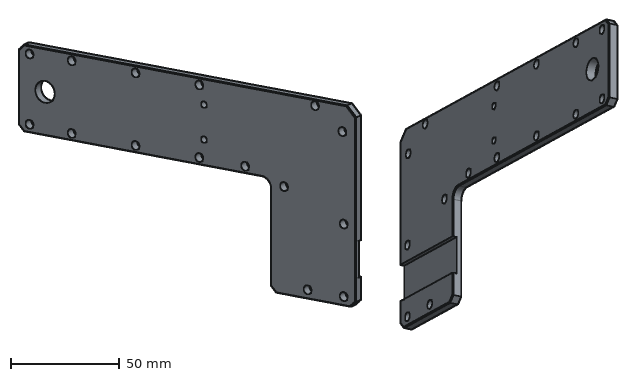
import cadquery as cq

length = 185.5
height = 97.0
thickness = 5.0
arm_bottom = 55.0
leg_left = 138.5
corner_chamfer = 3.0
large_corner_chamfer = 5.0
inner_radius = 5.0
edge_break = 0.46

screw_diameter = 4.3
pin_diameter = 3.2
cable_diameter = 10.5
cable_center = (14.7, 76.0)

end_column = 6.1
end_rows = (59.0, 93.0)
first_column = 29.3
column_pitch = 35.0
column_count = 3
arm_rows = (58.5, 93.5)

corner_screws = [(124.7, arm_rows[0]), (146.0, 52.1), (163.0, 94.0), (178.0, 84.0)]
leg_column = 178.8
leg_bottom_row = 4.5
leg_screws = [
    (159.0, leg_bottom_row),
    (leg_column, leg_bottom_row),
    (leg_column, leg_bottom_row + column_pitch),
]

pin_column = 102.0
pin_rows = (67.5, 84.4)

groove_bottom = 14.0
groove_width = 17.8
groove_depth = 2.2


def make_plate():
    """L-shaped plate with cut corners, a rounded inner corner and broken edges."""
    outline = [
        (0, arm_bottom),
        (leg_left, arm_bottom),
        (leg_left, 0),
        (length, 0),
        (length, height),
        (0, height),
    ]
    plate = cq.Workplane("XZ").polyline(outline).close().extrude(-thickness)

    def corner_edge(x, z):
        return cq.selectors.NearestToPointSelector((x, thickness / 2, z))

    for x, z in [(0, arm_bottom), (0, height), (leg_left, 0), (length, 0)]:
        plate = plate.edges("|Y").edges(corner_edge(x, z)).chamfer(corner_chamfer)
    plate = plate.edges("|Y").edges(corner_edge(length, height)).chamfer(large_corner_chamfer)
    plate = plate.edges("|Y").edges(corner_edge(leg_left, arm_bottom)).fillet(inner_radius)
    return plate.faces("<Y or >Y").edges().chamfer(edge_break)


def drill(plate, centers, diameter):
    """Cut round holes through the thickness at (x, z) centers."""
    drills = cq.Workplane("XZ").pushPoints(centers).circle(diameter / 2).extrude(-thickness)
    return plate.cut(drills)


def cut_groove(plate):
    """Cut the straight groove across the full width of the leg's back face."""
    groove = cq.Workplane("XY").box(
        length - leg_left, groove_depth, groove_width, centered=False
    )
    return plate.cut(groove.translate((leg_left, thickness - groove_depth, groove_bottom)))


end_screws = [(end_column, z) for z in end_rows]
arm_screws = [
    (first_column + i * column_pitch, z) for i in range(column_count) for z in arm_rows
]
pins = [(pin_column, z) for z in pin_rows]

result = make_plate()
result = drill(result, end_screws + arm_screws + corner_screws + leg_screws, screw_diameter)
result = drill(result, pins, pin_diameter)
result = drill(result, [cable_center], cable_diameter)
result = cut_groove(result)